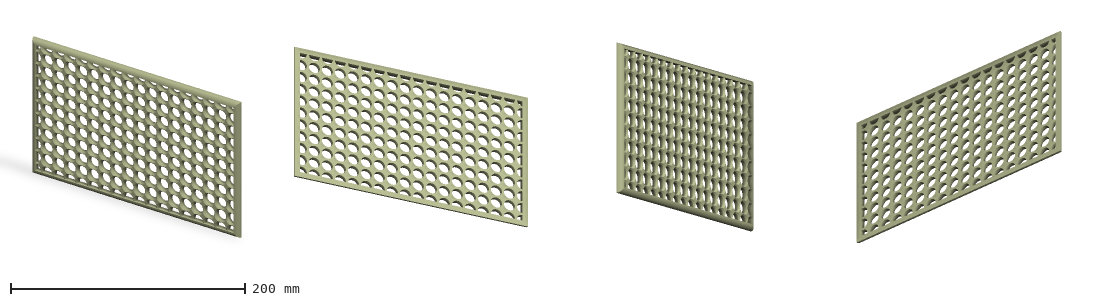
import cadquery as cq

length = 215.4
height = 130.5

hole_columns = 18
hole_rows = 11
hole_row_length = 204.0
last_hole_margin = 1.42
hole_pitch = hole_row_length / (hole_columns - 1)
narrowest_web = 2.0
hole_diameter = hole_pitch - narrowest_web
countersink_depth = 1.4
countersink_diameter = hole_diameter + 2 * countersink_depth

opening_length = hole_row_length + last_hole_margin
frame_radius = (length - opening_length) / 2
opening_height = height - 2 * frame_radius

grille_thickness = frame_radius


def make_frame():
    """Sweep the quarter-round around the opening, with mitred corners."""
    path = cq.Workplane("XZ").rect(opening_length, opening_height)
    arc_reach = frame_radius * 0.5**0.5
    edge = -opening_height / 2
    profile = (
        cq.Workplane("YZ")
        .moveTo(0, edge)
        .lineTo(-frame_radius, edge)
        .threePointArc((-arc_reach, edge - arc_reach), (0, edge - frame_radius))
        .close()
    )
    return profile.sweep(path, transition="right")


def make_hole_cutter():
    """Through hole with a countersink that opens at the front face of the grille."""
    hole_radius = hole_diameter / 2
    countersink_radius = countersink_diameter / 2
    return (
        cq.Workplane("XY")
        .lineTo(hole_radius, 0)
        .lineTo(hole_radius, countersink_depth - grille_thickness)
        .lineTo(countersink_radius, -grille_thickness)
        .lineTo(0, -grille_thickness)
        .close()
        .revolve(360, (0, 0, 0), (0, 1, 0))
        .val()
    )


def make_grille():
    """Cut the countersunk hole grid; the first hole is centred on the top left corner."""
    plate = cq.Workplane("XZ").rect(opening_length, opening_height).extrude(grille_thickness)
    cutter = make_hole_cutter()
    cutters = []
    for column in range(hole_columns):
        x = column * hole_pitch - opening_length / 2
        for row in range(hole_rows):
            z = opening_height / 2 - row * hole_pitch
            cutters.append(cutter.translate(cq.Vector(x, 0, z)))
    return cq.Workplane(plate.val().cut(*cutters)).solids()


frame = make_frame()
grille = make_grille()
result = cq.Compound.makeCompound([frame.val(), grille.val()])